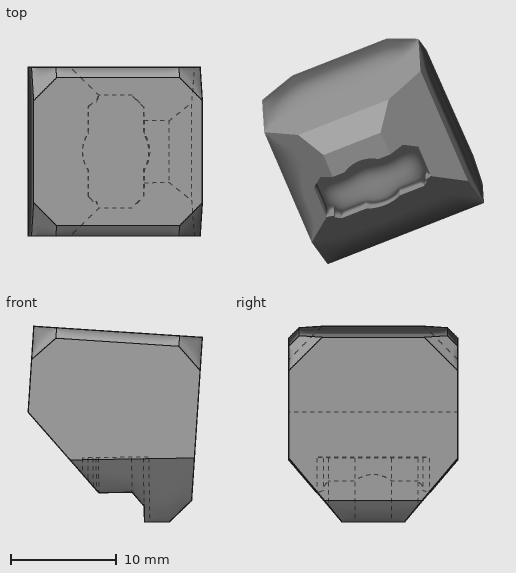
import cadquery as cq
import math

length = 16.5
width = 16.0
height = 18.54
half_width = width / 2

top_length = width
lean = math.radians(3.76)
front_bevel_angle = math.radians(45) + lean
foot_end_x = 13.35
rear_bevel_height = 2.06

flank_tilt = 0.92
crease_height = 5.82
foot_half_width = 3.1

edge_chamfer = 1.0
corner_cut = 3.17

pocket_tilt = -flank_tilt
pocket_depth = 6.0
pocket_front_x = 5.76
pocket_rear_x = 11.0
pocket_half_width = 5.34
pocket_end_half = 4.23
notch_half_width = 4.7
notch_start_x = pocket_front_x + notch_half_width - pocket_end_half
notch_end_x = 6.53
notch_outer_x = 6.75
bore_radius = 3.14

overshoot = 5.0

top_front_x = length - top_length * math.cos(lean)
top_rear_z = height - top_length * math.sin(lean)
nose_z = height - top_front_x / math.tan(lean)


def make_body():
    foot_start_x = nose_z / math.tan(front_bevel_angle)
    rear_low_x = length - (top_rear_z - rear_bevel_height) * math.tan(lean)
    outline = [
        (0, nose_z),
        (top_front_x, height),
        (length, top_rear_z),
        (rear_low_x, rear_bevel_height),
        (foot_end_x, 0),
        (foot_start_x, 0),
    ]
    return cq.Workplane("XZ").polyline(outline).close().extrude(half_width, both=True)


def make_flank_cutter(side):
    """Wedge outside one lower flank; side is -1 or 1."""
    slope = (half_width - foot_half_width) / crease_height
    low = -overshoot
    low_y = half_width - slope * (crease_height - low)
    section = [
        (side * half_width, crease_height),
        (side * low_y, low),
        (side * (half_width + overshoot), low),
        (side * (half_width + overshoot), crease_height + overshoot / slope),
    ]
    cutter = cq.Workplane("YZ").polyline(section).close().extrude(length + 2 * overshoot)
    cutter = cutter.translate((-overshoot, 0, 0))
    return cutter.rotate((0, 0, crease_height), (0, 1, crease_height), -flank_tilt)


def make_top_edge_cutter(side):
    section = [
        (side * half_width, 0),
        (side * (half_width - edge_chamfer), 0),
        (side * half_width, -edge_chamfer),
    ]
    return cq.Workplane("YZ").polyline(section).close().extrude(top_length)


def make_corner_cutter(end_x, inward, side):
    """Tetrahedron at one top corner; inward is the X direction into the block."""
    corner = cq.Vector(end_x, side * half_width, 0)
    tips = [
        corner + cq.Vector(inward * corner_cut, 0, 0),
        corner + cq.Vector(0, -side * corner_cut, 0),
        corner + cq.Vector(0, 0, -corner_cut),
    ]
    triangles = [
        tips,
        [corner, tips[0], tips[1]],
        [corner, tips[1], tips[2]],
        [corner, tips[2], tips[0]],
    ]
    faces = [cq.Face.makeFromWires(cq.Wire.makePolygon(t, close=True)) for t in triangles]
    return cq.Workplane(obj=cq.Solid.makeSolid(cq.Shell.makeShell(faces)))


def lean_with_top(cutter):
    """Move a cutter built on a level top at the origin onto the sloping top."""
    leaned = cutter.rotate((0, 0, 0), (0, 1, 0), math.degrees(lean))
    return leaned.translate((top_front_x, 0, height))


def make_pocket():
    corner_x = pocket_rear_x - (pocket_half_width - pocket_end_half)
    half_outline = [
        (pocket_front_x, pocket_end_half),
        (notch_start_x, notch_half_width),
        (notch_end_x, notch_half_width),
        (notch_outer_x, pocket_half_width),
        (corner_x, pocket_half_width),
        (pocket_rear_x, pocket_end_half),
    ]
    outline = half_outline + [(x, -y) for x, y in reversed(half_outline)]
    plane = cq.Workplane("XY").workplane(offset=-overshoot)
    slot = plane.polyline(outline).close().extrude(pocket_depth + overshoot)
    bore_x = (pocket_front_x + pocket_rear_x) / 2
    bore = plane.center(bore_x, 0).circle(bore_radius).extrude(pocket_depth + overshoot)
    return slot.union(bore).rotate((0, 0, 0), (0, 1, 0), pocket_tilt)


result = make_body()
for side in (-1, 1):
    result = result.cut(make_flank_cutter(side))
    result = result.cut(lean_with_top(make_top_edge_cutter(side)))
    for end_x, inward in ((0, 1), (top_length, -1)):
        result = result.cut(lean_with_top(make_corner_cutter(end_x, inward, side)))
result = result.cut(make_pocket())